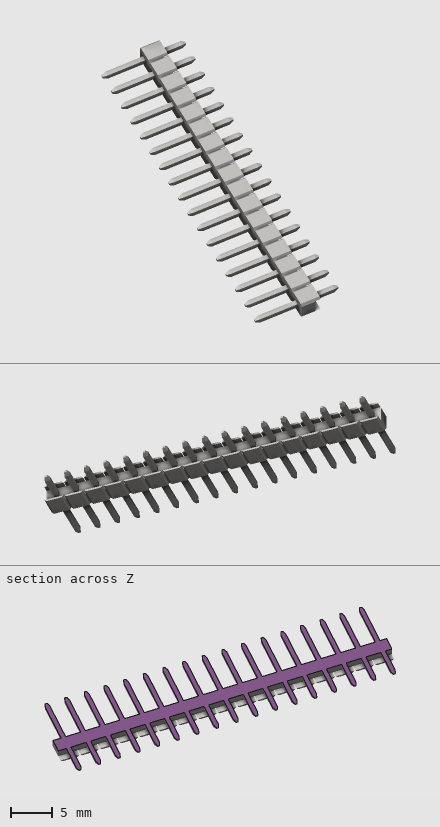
import cadquery as cq


pin_count = 17
strip_length = 43.2
strip_depth = 2.55
strip_height = 2.5
pitch = strip_length / pin_count
corner_chamfer = 0.3

channel_depth = 0.75
lip_thickness = 0.25

pin_length = 11.2
pin_width = 0.65
front_reach = 5.65
tip_length = 0.55
tip_width = 0.3
pin_shift = -0.1


def cell_center(index):
    """X position of the middle of one cell of the strip."""
    return (index - (pin_count - 1) / 2) * pitch


def make_strip():
    """Row of cells with chamfered long edges, so neighbours meet in V notches."""
    cell = (
        cq.Workplane("XY")
        .box(pitch, strip_depth, strip_height, centered=(True, False, True))
        .edges("|Y")
        .chamfer(corner_chamfer)
    )
    strip = cell.translate((cell_center(0), 0, 0))
    for index in range(1, pin_count):
        strip = strip.union(cell.translate((cell_center(index), 0, 0)))
    return strip


def make_channel():
    """Cutter for the rear channel, open at both ends of the strip."""
    return (
        cq.Workplane("XY")
        .box(
            strip_length,
            channel_depth,
            strip_height - 2 * lip_thickness,
            centered=(True, False, True),
        )
        .translate((0, strip_depth - channel_depth, 0))
    )


def make_tip():
    """Square tapered tip that starts at the origin and narrows towards -Y."""
    return (
        cq.Workplane("XZ")
        .rect(pin_width, pin_width)
        .workplane(offset=tip_length)
        .rect(tip_width, tip_width)
        .loft(combine=True)
    )


def make_pin():
    """Square pin along Y, tapered at both ends."""
    shaft_length = pin_length - 2 * tip_length
    shaft_start = tip_length - front_reach
    shaft = (
        cq.Workplane("XY")
        .box(pin_width, shaft_length, pin_width, centered=(True, False, True))
        .translate((0, shaft_start, 0))
    )
    front_tip = make_tip().translate((0, shaft_start, 0))
    rear_tip = make_tip().mirror("XZ").translate((0, shaft_start + shaft_length, 0))
    return shaft.union(front_tip).union(rear_tip)


result = make_strip().cut(make_channel())
pin = make_pin()
for pin_index in range(pin_count):
    result = result.union(pin.translate((cell_center(pin_index) + pin_shift, 0, 0)))